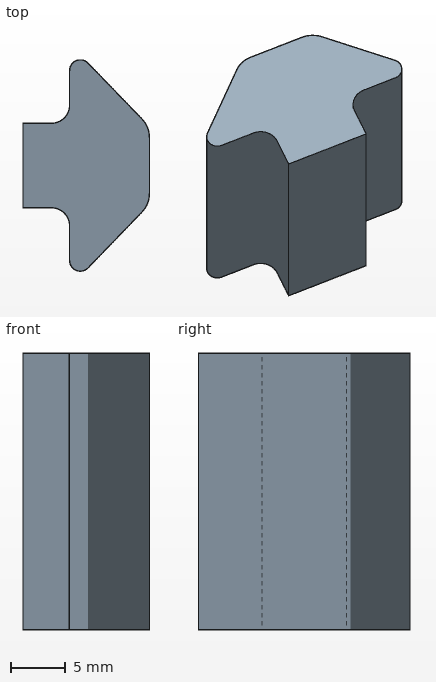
import cadquery as cq
import math

length = 25.4
depth = 11.6
width = 19.4
stem_width = 7.77
stem_depth = 4.27
root_radius = 1.65
tip_radius = 1.0
nose_radius = 2.45
flank_angle = math.radians(46)

stem_x = -depth / 2
wing_x = stem_x + stem_depth
nose_x = depth / 2
stem_y = stem_width / 2

tip_center_x = wing_x + tip_radius
tip_center_y = width / 2 - tip_radius
flank_y_at_tip_center = tip_center_y + tip_radius / math.cos(flank_angle)


def flank_y(x):
    """Y of the +Y flank line at a given X."""
    return flank_y_at_tip_center - (x - tip_center_x) * math.tan(flank_angle)


upper_corners = [
    (stem_x, stem_y),
    (wing_x, stem_y),
    (wing_x, flank_y(wing_x)),
    (nose_x, flank_y(nose_x)),
]
lower_corners = [(x, -y) for x, y in reversed(upper_corners)]

result = (
    cq.Workplane("XY")
    .polyline(upper_corners + lower_corners)
    .close()
    .extrude(length / 2, both=True)
)


def round_corner_pair(body, corner, radius):
    """Fillet the lengthwise edges at a profile corner and its mirror image."""
    x, y = corner
    for side in (1, -1):
        edge = cq.selectors.NearestToPointSelector((x, side * y, 0))
        body = body.edges("|Z").edges(edge).fillet(radius)
    return body


root_corner, tip_corner, nose_corner = upper_corners[1:]
result = round_corner_pair(result, root_corner, root_radius)
result = round_corner_pair(result, tip_corner, tip_radius)
result = round_corner_pair(result, nose_corner, nose_radius)